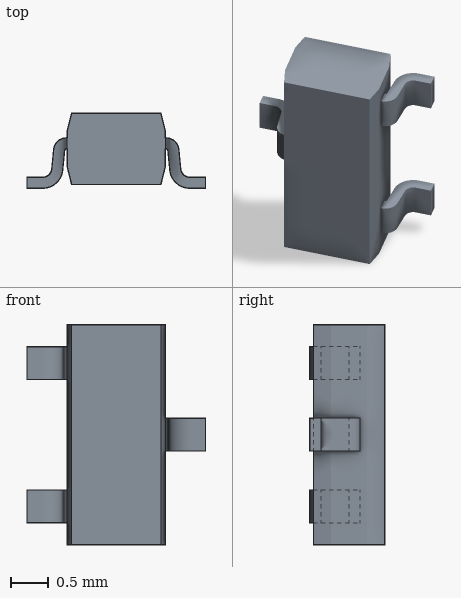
import cadquery as cq
import math

BODY_WIDTH = 1.302
BODY_DEPTH = 0.95
BODY_HEIGHT = 2.92
DRAFT_INSET = 0.058
DRAFT_DEPTH = BODY_DEPTH / 4

OVERALL_WIDTH = 2.37
LEAD_THICKNESS = 0.15
LEAD_WIDTH = 0.438
LEAD_RISE = 0.672
FOOT_LENGTH = 0.21
FOOT_INNER_RADIUS = 0.12
SHOULDER_OUTER_RADIUS = 0.175
LEAN_ANGLE = math.radians(5.5)
LEAD_PITCH = 1.898
STANDOFF = 0.05

BODY_FRONT = -BODY_DEPTH / 2
FOOT_SOLE = BODY_FRONT - STANDOFF
FOOT_TIP = -OVERALL_WIDTH / 2
LEAD_ROOT = -BODY_WIDTH / 2


def make_housing():
    """Octagonal prism, symmetric about both horizontal axes."""
    half_width = BODY_WIDTH / 2
    half_depth = BODY_DEPTH / 2
    face_half_width = half_width - DRAFT_INSET
    side_half_depth = half_depth - DRAFT_DEPTH
    return (
        cq.Workplane("XY")
        .polyline([
            (-face_half_width, -half_depth),
            (face_half_width, -half_depth),
            (half_width, -side_half_depth),
            (half_width, side_half_depth),
            (face_half_width, half_depth),
            (-face_half_width, half_depth),
            (-half_width, side_half_depth),
            (-half_width, -side_half_depth),
        ])
        .close()
        .extrude(BODY_HEIGHT / 2, both=True)
    )


def point_on_circle(center, radius, angle):
    return (center[0] + radius * math.cos(angle), center[1] + radius * math.sin(angle))


def make_lead(z_center):
    """Lead on the -X side: flat foot, leaning web and rounded shoulder meeting the housing."""
    foot_outer_radius = FOOT_INNER_RADIUS + LEAD_THICKNESS
    shoulder_inner_radius = SHOULDER_OUTER_RADIUS - LEAD_THICKNESS
    shoulder_top = FOOT_SOLE + LEAD_RISE

    foot_center = (FOOT_TIP + FOOT_LENGTH, FOOT_SOLE + foot_outer_radius)
    shoulder_y = shoulder_top - SHOULDER_OUTER_RADIUS
    center_rise = shoulder_y - foot_center[1]
    radius_sum = FOOT_INNER_RADIUS + SHOULDER_OUTER_RADIUS
    center_run = (radius_sum + center_rise * math.sin(LEAN_ANGLE)) / math.cos(LEAN_ANGLE)
    shoulder_center = (foot_center[0] + center_run, shoulder_y)

    foot_start = -math.pi / 2
    foot_end = -LEAN_ANGLE
    foot_middle = (foot_start + foot_end) / 2
    shoulder_start = math.pi - LEAN_ANGLE
    shoulder_end = math.pi / 2
    shoulder_middle = (shoulder_start + shoulder_end) / 2

    def foot_point(radius, angle):
        return point_on_circle(foot_center, radius, angle)

    def shoulder_point(radius, angle):
        return point_on_circle(shoulder_center, radius, angle)

    return (
        cq.Workplane("XY", origin=(0, 0, z_center))
        .moveTo(FOOT_TIP, FOOT_SOLE)
        .lineTo(*foot_point(foot_outer_radius, foot_start))
        .threePointArc(foot_point(foot_outer_radius, foot_middle), foot_point(foot_outer_radius, foot_end))
        .lineTo(*shoulder_point(shoulder_inner_radius, shoulder_start))
        .threePointArc(
            shoulder_point(shoulder_inner_radius, shoulder_middle),
            shoulder_point(shoulder_inner_radius, shoulder_end),
        )
        .lineTo(LEAD_ROOT, shoulder_top - LEAD_THICKNESS)
        .lineTo(LEAD_ROOT, shoulder_top)
        .lineTo(*shoulder_point(SHOULDER_OUTER_RADIUS, shoulder_end))
        .threePointArc(
            shoulder_point(SHOULDER_OUTER_RADIUS, shoulder_middle),
            shoulder_point(SHOULDER_OUTER_RADIUS, shoulder_start),
        )
        .lineTo(*foot_point(FOOT_INNER_RADIUS, foot_end))
        .threePointArc(foot_point(FOOT_INNER_RADIUS, foot_middle), foot_point(FOOT_INNER_RADIUS, foot_start))
        .lineTo(FOOT_TIP, FOOT_SOLE + LEAD_THICKNESS)
        .close()
        .extrude(LEAD_WIDTH / 2, both=True)
    )


housing = make_housing()

leads = []
for z_center in (-LEAD_PITCH / 2, LEAD_PITCH / 2):
    leads.append(make_lead(z_center).val())
leads.append(make_lead(0).mirror("YZ").val())

result = cq.Compound.makeCompound([housing.val(), *leads])